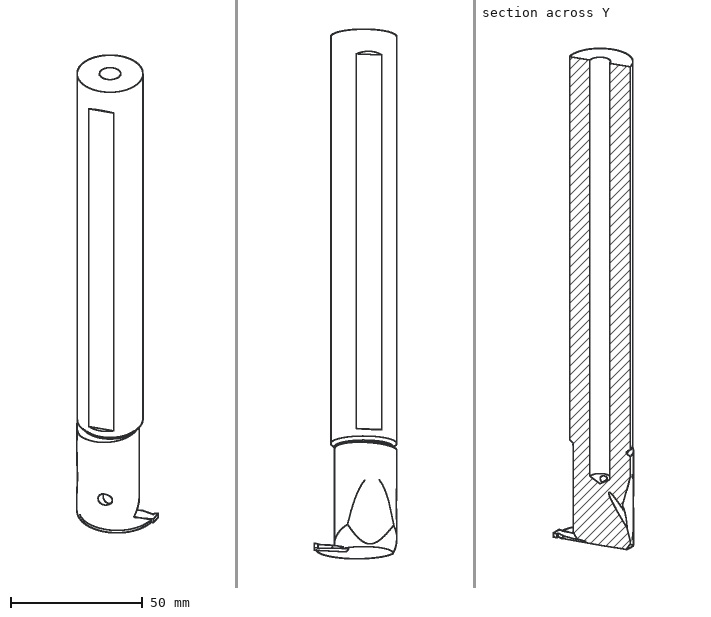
import cadquery as cq
import math


TOTAL_LENGTH = 200
SHANK_DIAMETER = 25.0
SHANK_RADIUS = SHANK_DIAMETER / 2
SHANK_BOTTOM = 41.5
BORE_RADIUS = 4
BORE_BOTTOM = 28
BORE_TIP_HEIGHT = 2.5
WIDTH_ACROSS_FLATS = 23.0
FLAT_DISTANCE = WIDTH_ACROSS_FLATS / 2
FLAT_BOTTOM = 44.5
FLAT_TOP = 190.5
FLAT_BOTTOM_RUN = 0.5
FLAT_TOP_RUN = SHANK_RADIUS - FLAT_DISTANCE

NECK_RADIUS = 11.0
NECK_TOP = 40.5
NECK_BOTTOM = 39.8
BEVEL_SLOPE = 0.6

SWEEP_CENTER = (2.8, 0)
SWEEP_DIAMETER = 30.5
SWEEP_RADIUS = SWEEP_DIAMETER / 2
HEAD_CENTER = (-1.2, -0.2)
HEAD_DIAMETER = 24.5
HEAD_RADIUS = HEAD_DIAMETER / 2

FLANGE_THICKNESS = 1.5
FLANGE_FILLET = 1.2

GULLET_OFFSET = 6.5
GULLET_SLOPE = 0.21
GULLET_TOP = 36
RELIEF_X = -1.0
RELIEF_Y = -4.5
RELIEF_RADIUS = 10.8
RELIEF_SLOPE = 0.6

POCKET_X = -19.2
POCKET_Y = -1.5
POCKET_RADIUS = 10
POCKET_MIDDLE = 17.2
POCKET_ROUND_HALF_HEIGHT = 2.5
POCKET_ROUND_EDGE_RADIUS = 9.5
POCKET_SLOPE = 0.26

CHANNEL_RADIUS = 1.3
CHANNEL_MOUTH = (-9.8, -0.2, 13.5)
CHANNEL_DIRECTION = (0.56, -0.1, 0.83)
CHANNEL_REACH = 18

HOLE_RADIUS = 2.5
HOLE_MOUTH = (1.5, -12.2, 12.8)
HOLE_DIRECTION = (0.25, 1, -0.25)
HOLE_DEPTH = 3.0

FOOT_POINT = (-1.8, 1.8)
FOOT_SLOPE = 0.012

INSERT_INNER_X = 6
TIP_OVERHANG = 1.0
INSERT_TIP_X = SWEEP_CENTER[0] + SWEEP_RADIUS + TIP_OVERHANG
INSERT_HEEL_X = 18.5
INSERT_FRONT_Y = -4
INSERT_BACK_Y = 1.2
CHIP_FACE_START_X = 12.5
CHIP_FACE_END_X = 17.5
CHIP_FACE_END_Y = -0.8
TIP_LAND_X = 17.8
TIP_HEIGHT = 2
INSERT_INNER_HEIGHT = 0.5

BEYOND = 40


def upright_cylinder(center, radius, bottom, top):
    return cq.Workplane("XY", origin=(*center, bottom)).circle(radius).extrude(top - bottom)


def make_shank_and_neck():
    profile = [
        (0, NECK_BOTTOM),
        (NECK_RADIUS, NECK_BOTTOM),
        (NECK_RADIUS, NECK_TOP),
        (SHANK_RADIUS, SHANK_BOTTOM),
        (SHANK_RADIUS, TOTAL_LENGTH),
        (0, TOTAL_LENGTH),
    ]
    return cq.Workplane("XZ").polyline(profile).close().revolve(360, (0, 0), (0, 1))


def make_flat_cutter(side):
    """Cutter for one long flat with sloping ends, on the side given by -1 (front) or 1 (back)."""
    reach = BEYOND - FLAT_DISTANCE
    profile = [
        (side * FLAT_DISTANCE, FLAT_BOTTOM),
        (side * FLAT_DISTANCE, FLAT_TOP),
        (side * SHANK_RADIUS, FLAT_TOP + FLAT_TOP_RUN),
        (side * reach, FLAT_TOP + FLAT_TOP_RUN),
        (side * reach, FLAT_BOTTOM - FLAT_BOTTOM_RUN),
        (side * SHANK_RADIUS, FLAT_BOTTOM - FLAT_BOTTOM_RUN),
    ]
    return cq.Workplane("YZ").polyline(profile).close().extrude(BEYOND, both=True)


def make_head():
    """Two overlapping cylinders, bevelled at the top where they meet the neck."""
    head = upright_cylinder(HEAD_CENTER, HEAD_RADIUS, 0, NECK_BOTTOM)
    head = head.intersect(upright_cylinder(SWEEP_CENTER, SWEEP_RADIUS, 0, NECK_BOTTOM))
    bevel_profile = [
        (0, 0),
        (BEYOND, 0),
        (BEYOND, NECK_BOTTOM - BEVEL_SLOPE * (BEYOND - NECK_RADIUS)),
        (NECK_RADIUS, NECK_BOTTOM),
        (0, NECK_BOTTOM),
    ]
    bevel = cq.Workplane("XZ").polyline(bevel_profile).close().revolve(360, (0, 0), (0, 1))
    return head.intersect(bevel)


def make_flange():
    """Thin disc, with a concave fillet running up to the head cylinder."""
    fillet_top = FLANGE_THICKNESS + FLANGE_FILLET
    outer_radius = HEAD_RADIUS + FLANGE_FILLET
    arc_offset = FLANGE_FILLET * (1 - math.sqrt(0.5))
    fillet = (
        cq.Workplane("XZ", origin=(*HEAD_CENTER, 0))
        .moveTo(0, 0)
        .lineTo(outer_radius, 0)
        .lineTo(outer_radius, FLANGE_THICKNESS)
        .threePointArc(
            (HEAD_RADIUS + arc_offset, FLANGE_THICKNESS + arc_offset),
            (HEAD_RADIUS, fillet_top),
        )
        .lineTo(0, fillet_top)
        .close()
        .revolve(360, (0, 0), (0, 1))
    )
    fillet = fillet.intersect(upright_cylinder(SWEEP_CENTER, SWEEP_RADIUS, 0, fillet_top))
    return upright_cylinder(SWEEP_CENTER, SWEEP_RADIUS, 0, FLANGE_THICKNESS).union(fillet)


def make_gullet_cutter():
    profile = [
        (GULLET_OFFSET, 0),
        (BEYOND, 0),
        (BEYOND, GULLET_TOP),
        (GULLET_OFFSET + GULLET_SLOPE * GULLET_TOP, GULLET_TOP),
    ]
    return cq.Workplane("YZ").polyline(profile).close().extrude(BEYOND, both=True)


def make_relief_cutter():
    """Everything outside an upward-opening cone, behind the front line of the insert."""
    height = (BEYOND - RELIEF_RADIUS) / RELIEF_SLOPE
    outside = (
        cq.Workplane("XZ", origin=(RELIEF_X, RELIEF_Y, 0))
        .polyline([(RELIEF_RADIUS, 0), (BEYOND, 0), (BEYOND, height)])
        .close()
        .revolve(360, (0, 0), (0, 1))
    )
    behind = cq.Workplane("XY").box(3 * BEYOND, 2 * BEYOND, height, centered=(True, False, False))
    return outside.intersect(behind.translate((0, INSERT_FRONT_Y, 0)))


def make_pocket_cutter():
    """Two cones joined by a rounded waist, turned about an upright axis outside the head wall."""
    half_height = POCKET_ROUND_HALF_HEIGHT + POCKET_ROUND_EDGE_RADIUS / POCKET_SLOPE
    return (
        cq.Workplane("XZ", origin=(POCKET_X, POCKET_Y, POCKET_MIDDLE))
        .moveTo(0, -half_height)
        .lineTo(POCKET_ROUND_EDGE_RADIUS, -POCKET_ROUND_HALF_HEIGHT)
        .threePointArc((POCKET_RADIUS, 0), (POCKET_ROUND_EDGE_RADIUS, POCKET_ROUND_HALF_HEIGHT))
        .lineTo(0, half_height)
        .close()
        .revolve(360, (0, 0), (0, 1))
    )


def make_drill_cutter(mouth, direction, radius, reach):
    """Straight drill that extends the given reach to either side of the mouth of its hole."""
    axis = cq.Vector(direction).normalized()
    start = cq.Vector(mouth) - axis * reach
    return cq.Workplane(cq.Solid.makeCylinder(radius, 2 * reach, start, axis))


def make_bore_cutter():
    """Axial bore with a conical drill tip."""
    profile = [
        (0, BORE_BOTTOM - BORE_TIP_HEIGHT),
        (BORE_RADIUS, BORE_BOTTOM),
        (BORE_RADIUS, TOTAL_LENGTH),
        (0, TOTAL_LENGTH),
    ]
    return cq.Workplane("XZ").polyline(profile).close().revolve(360, (0, 0), (0, 1))


def make_foot_relief_cutter():
    """Everything below the very flat cone that forms the underside of the foot."""
    profile = [(0, 0), (BEYOND, FOOT_SLOPE * BEYOND), (BEYOND, 0)]
    return (
        cq.Workplane("XZ", origin=(*FOOT_POINT, 0))
        .polyline(profile)
        .close()
        .revolve(360, (0, 0), (0, 1))
    )


def make_insert():
    """Bar with a sloping chip face and a top that rises toward the cutting tip."""
    outline = [
        (INSERT_INNER_X, INSERT_FRONT_Y),
        (INSERT_HEEL_X, INSERT_FRONT_Y),
        (INSERT_TIP_X, 0),
        (TIP_LAND_X, 0),
        (CHIP_FACE_END_X, CHIP_FACE_END_Y),
        (CHIP_FACE_START_X, INSERT_BACK_Y),
        (INSERT_INNER_X, INSERT_BACK_Y),
    ]
    bar = cq.Workplane("XY").polyline(outline).close().extrude(TIP_HEIGHT)
    side_profile = [
        (INSERT_INNER_X, 0),
        (INSERT_TIP_X, 0),
        (INSERT_TIP_X, TIP_HEIGHT),
        (INSERT_INNER_X, INSERT_INNER_HEIGHT),
    ]
    side = cq.Workplane("XZ").polyline(side_profile).close().extrude(BEYOND, both=True)
    return bar.intersect(side).cut(make_foot_relief_cutter())


def make_holder(insert):
    holder = make_shank_and_neck().union(make_head()).union(make_flange())
    for side in (-1, 1):
        holder = holder.cut(make_flat_cutter(side))
    holder = holder.cut(make_gullet_cutter())
    holder = holder.cut(make_relief_cutter())
    holder = holder.cut(make_bore_cutter())
    holder = holder.cut(make_pocket_cutter())
    channel = make_drill_cutter(CHANNEL_MOUTH, CHANNEL_DIRECTION, CHANNEL_RADIUS, CHANNEL_REACH)
    holder = holder.cut(channel)
    front_hole = make_drill_cutter(HOLE_MOUTH, HOLE_DIRECTION, HOLE_RADIUS, HOLE_DEPTH)
    holder = holder.cut(front_hole)
    holder = holder.cut(make_foot_relief_cutter())
    return holder.cut(insert)


insert = make_insert()
holder = make_holder(insert)
result = cq.Compound.makeCompound([holder.solids().val(), insert.solids().val()])